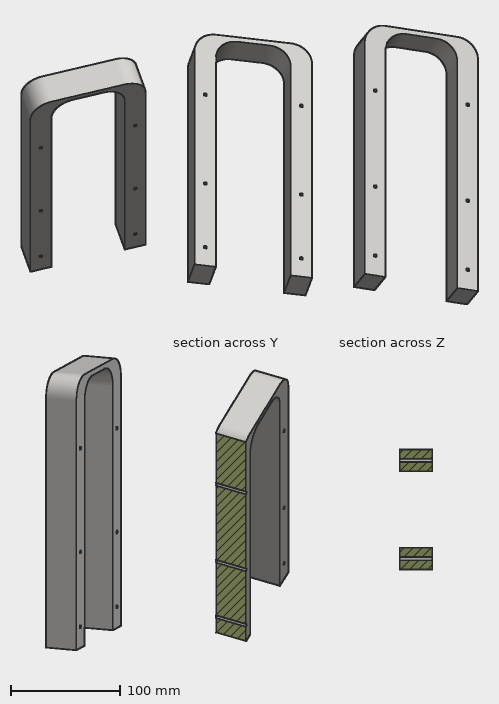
import cadquery as cq

depth = 30.0
width = 110.0
height = 254.5

leg_width = 20.0
bridge_thickness = 5.0
outer_radius = 20.0
inner_radius = 20.0

hole_diameter = 2.8
hole_heights = (20.0, 90.0, 187.3)

opening_width = width - 2 * leg_width
opening_height = height - bridge_thickness
leg_center = (width - leg_width) / 2


def arch_block(block_width, block_height, corner_radius):
    """Block standing on Z = 0 with its two top corners rounded."""
    block = cq.Workplane("XY").box(depth, block_width, block_height, centered=(True, True, False))
    return block.edges("|X and >Z").fillet(corner_radius)


def mounting_holes():
    """Cylinders running along X through both legs."""
    centers = [(side * leg_center, z) for side in (-1, 1) for z in hole_heights]
    return (
        cq.Workplane("YZ")
        .pushPoints(centers)
        .circle(hole_diameter / 2)
        .extrude(depth / 2, both=True)
    )


frame = arch_block(width, height, outer_radius)
opening = arch_block(opening_width, opening_height, inner_radius)
result = frame.cut(opening).cut(mounting_holes())